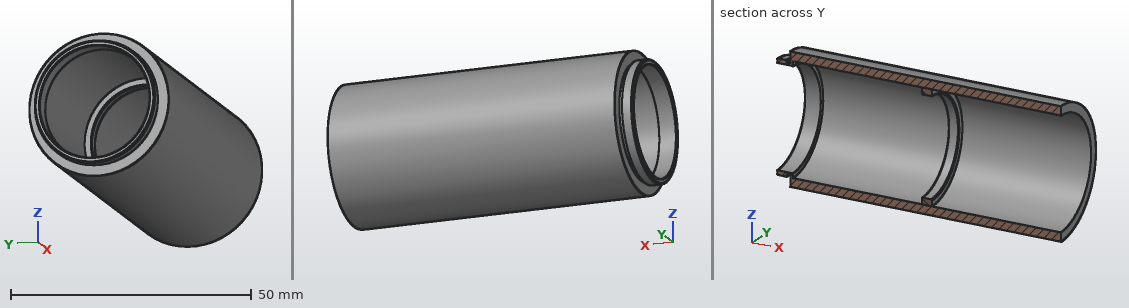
import cadquery as cq


TUBE_LENGTH = 67.3
TUBE_RADIUS = 30.5 / 2
TUBE_EDGE_CHAMFER = 0.1

SHOULDER_X = 3.1
COLLAR_LENGTH = 2.3
COLLAR_RADIUS = 13.1
COLLAR_CHAMFER = 0.3
NECK_RADIUS = 12.6

LIP_LENGTH = 3.85
LIP_RADIUS = 12.0
LIP_CHAMFER = 0.15
BORE_RADIUS = 13.05

RING_THICKNESS = 2.5
RING_INNER_RADIUS = 11.5
RING_CHAMFER = 0.2
RING_X = (LIP_LENGTH + TUBE_LENGTH - RING_THICKNESS) / 2


def revolve_about_x(profile):
    """Turn a closed profile of (x, radius) points around the X axis."""
    return cq.Workplane("XZ").polyline(profile).close().revolve(360, (0, 0, 0), (1, 0, 0))


def make_tube():
    outside = [
        (0, COLLAR_RADIUS - COLLAR_CHAMFER),
        (COLLAR_CHAMFER, COLLAR_RADIUS),
        (COLLAR_LENGTH, COLLAR_RADIUS),
        (COLLAR_LENGTH, NECK_RADIUS),
        (SHOULDER_X, NECK_RADIUS),
        (SHOULDER_X, TUBE_RADIUS - TUBE_EDGE_CHAMFER),
        (SHOULDER_X + TUBE_EDGE_CHAMFER, TUBE_RADIUS),
        (TUBE_LENGTH, TUBE_RADIUS),
    ]
    inside = [
        (TUBE_LENGTH, BORE_RADIUS),
        (LIP_LENGTH, BORE_RADIUS),
        (LIP_LENGTH, LIP_RADIUS),
        (LIP_CHAMFER, LIP_RADIUS),
        (0, LIP_RADIUS + LIP_CHAMFER),
    ]
    return revolve_about_x(outside + inside)


def make_retaining_ring():
    ring_end = RING_X + RING_THICKNESS
    return revolve_about_x([
        (RING_X, BORE_RADIUS),
        (RING_X, RING_INNER_RADIUS + RING_CHAMFER),
        (RING_X + RING_CHAMFER, RING_INNER_RADIUS),
        (ring_end - RING_CHAMFER, RING_INNER_RADIUS),
        (ring_end, RING_INNER_RADIUS + RING_CHAMFER),
        (ring_end, BORE_RADIUS),
    ])


tube = make_tube()
retaining_ring = make_retaining_ring()

result = cq.Compound.makeCompound([tube.val(), retaining_ring.val()])